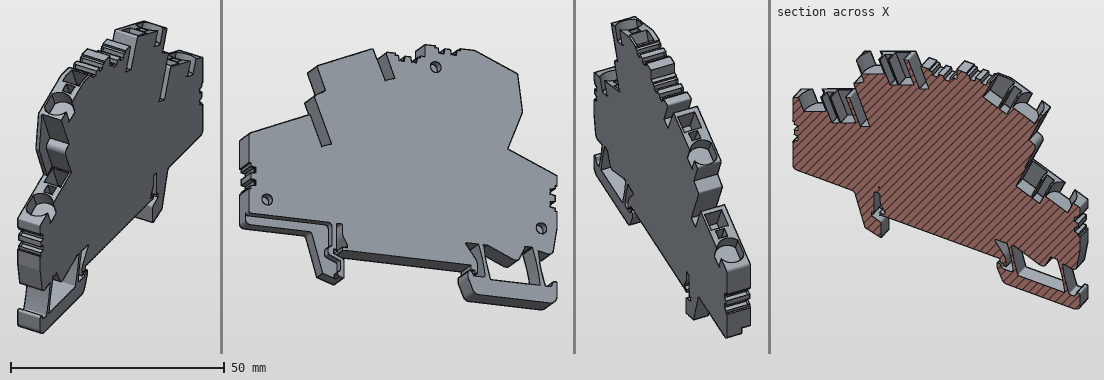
import cadquery as cq
import math

THICKNESS = 6.1
HALF_LENGTH = 38.95
HEIGHT = 59.7

SLOPE = math.radians(22.5)
RISE = math.tan(SLOPE)

EDGE_ROUND = 0.4
END_ROUND = 0.8
BROW_ROUND = 1.95
STRUT_BEND = 31.15

RAIL_FACE_Z = 7.0
LATCH_TOP_Z = 13.4
SHELF_Z = 11.3
FOOT_DECK_Z = 4.05
LATCH_RECESS_DEPTH = 2.25

COVER_THICKNESS = 0.9
COVER_FOOT_Y = -26.5

SEAT_WIDTH = 6.3
SEAT_DEPTH = 0.5
GROOVE_PITCH = 3.1
GROOVE_MOUTH = 1.9
GROOVE_FLOOR = 1.25
GROOVE_DEPTH = 1.5
GROOVE_END_LENGTH = 0.55
GROOVE_END_STEP = 0.2

FUNNEL_X = 3.1
FUNNEL_RADIUS = 3.3
FUNNEL_FLAT_X = 0.5
FUNNEL_DEPTH = 3.9
FUNNEL_END_FLAT = 1.2
SLOT_X = 3.5
SLOT_WIDTH = 2.25
SLOT_LENGTH = 2.1
SLOT_OFFSET = 4.75
POCKET_X = 3.35
POCKET_WIDTH = 4.4
POCKET_LENGTH = 4.3
POCKET_OFFSET = 8.4
CAVITY_DEPTH = 7.1

CLEARANCE = 2.3

PIN_DIAMETER = 2.65
PIN_DEPTH = 2.3
PIN_CENTRES = [(34.35, 17.2), (-8.25, 54.5), (-35.0, 18.1)]

UPPER_LEDGE_Z = 56.8
LOWER_LEFT_CORNER = (HALF_LENGTH, 32.95)
UPPER_LEFT_CORNER = (21.8, 51.4)
UPPER_RIGHT_CORNER = (-29.0, 55.2)
LOWER_RIGHT_CORNER = (-HALF_LENGTH, 31.4)


def on_slope(corner, y):
    """Point at the given y on the sloped face that starts at its outer corner."""
    return (y, corner[1] + abs(corner[0] - y) * RISE)


def rounded_prism(corners, x_start, x_end):
    """Extrude a closed outline of (y, z) or (y, z, radius) corners along X."""
    segments = []
    count = len(corners)
    for i, corner in enumerate(corners):
        here = cq.Vector(corner[0], corner[1])
        radius = corner[2] if len(corner) == 3 else 0
        if radius == 0:
            segments.append((here, None, here))
            continue
        before = cq.Vector(*corners[i - 1][:2])
        after = cq.Vector(*corners[(i + 1) % count][:2])
        back = (before - here).normalized()
        ahead = (after - here).normalized()
        half_angle = back.getAngle(ahead) / 2
        setback = radius / math.tan(half_angle)
        bisector = (back + ahead).normalized()
        middle = here + bisector * (radius / math.sin(half_angle) - radius)
        segments.append((here + back * setback, middle, here + ahead * setback))

    outline = cq.Workplane("YZ", origin=(x_start, 0, 0)).moveTo(*segments[-1][2].toTuple()[:2])
    for start, middle, end in segments:
        outline = outline.lineTo(*start.toTuple()[:2])
        if middle is not None:
            outline = outline.threePointArc(middle.toTuple()[:2], end.toTuple()[:2])
    return outline.close().extrude(x_end - x_start)


def housing():
    """Main body with the stepped roof, conductor slots and rail recesses."""
    brow_y = UPPER_RIGHT_CORNER[0] + (HEIGHT - UPPER_RIGHT_CORNER[1]) / RISE
    corners = [
        (HALF_LENGTH, SHELF_Z, 1.25),
        (*LOWER_LEFT_CORNER, END_ROUND),
        (*on_slope(LOWER_LEFT_CORNER, 23.5), EDGE_ROUND),
        (20.55, 31.8),
        (18.1, 32.7),
        (22.5, 43.9, EDGE_ROUND),
        (19.6, 45.6),
        (*UPPER_LEFT_CORNER, EDGE_ROUND),
        (*on_slope(UPPER_LEFT_CORNER, 7.6), EDGE_ROUND),
        (4.5, 49.8),
        (2.1, 50.6),
        (4.45, UPPER_LEDGE_Z, EDGE_ROUND),
        (-5.5, UPPER_LEDGE_Z),
        (-5.5, HEIGHT),
        (brow_y, HEIGHT, BROW_ROUND),
        (*UPPER_RIGHT_CORNER, EDGE_ROUND),
        (-30.2, 45.95, 1.2),
        on_slope(LOWER_RIGHT_CORNER, COVER_FOOT_Y),
        (*LOWER_RIGHT_CORNER, EDGE_ROUND),
        (-HALF_LENGTH, 18.6),
        (-37.8, 11.7, 1.2),
        (-34.2, 12.45),
        (-32.4, 13.2),
        (-30.9, 13.2),
        (-29.2, 9.5, 0.9),
        (-28.0, 9.5, 0.8),
        (-21.35, 12.4),
        (-15.6, 12.4, 0.3),
        (-18.85, 7.95, 3.1),
        (-18.85, 5.2),
        (-18.2, 5.2),
        (-18.1, 5.9),
        (-17.1, 5.9),
        (-17.1, RAIL_FACE_Z),
        (13.9, RAIL_FACE_Z),
        (15.35, 6.85),
        (15.35, 7.7),
        (14.0, 7.7),
        (14.0, 8.25),
        (15.35, 10.7, 3.1),
        (15.35, LATCH_TOP_Z, 0.4),
        (16.8, LATCH_TOP_Z, 0.4),
        (16.8, RAIL_FACE_Z),
        (17.5, RAIL_FACE_Z),
        (17.5, 5.9),
        (14.9, 4.8, 0.8),
        (14.9, 0.1, 0.2),
        (19.4, 1.5),
        (22.3, SHELF_Z, 0.8),
    ]
    return rounded_prism(corners, 0, THICKNESS)


def spring_foot():
    """Flexible foot at the -Y end, hung from the body by two thin struts."""
    root_z = 13.25
    outline = [
        (-16.35, 5.6, 0.3),
        (-17.3, 5.6, 0.3),
        (-17.8, 4.45, 0.3),
        (-20.8, 4.45, 0.6),
        (-20.2, 8.6, STRUT_BEND),
        (-19.1, 12.4),
        (-18.85, root_z),
        (-20.3, root_z),
        (-20.3, 12.4),
        (-20.9, 8.9, STRUT_BEND),
        (-22.1, FOOT_DECK_Z, 0.2),
        (-34.65, FOOT_DECK_Z),
        (-34.0, 8.25, STRUT_BEND),
        (-32.6, root_z),
        (-34.2, root_z),
        (-34.2, 12.4),
        (-34.6, 8.6, STRUT_BEND),
        (-36.0, FOOT_DECK_Z, 0.2),
        (-37.45, FOOT_DECK_Z, 0.6),
        (-37.9, 5.4, 0.4),
        (-HALF_LENGTH, 5.4, 0.4),
        (-HALF_LENGTH, 0.0, 1.9),
        (-18.1, 0.0, 1.55),
        (-16.35, 4.05, 0.8),
    ]
    return rounded_prism(outline, 0, THICKNESS)


def latch_recess():
    """Shallow step that thins the shelf and the outside of the latch leg."""
    outline = [
        (HALF_LENGTH + CLEARANCE, LATCH_TOP_Z + 0.8),
        (HALF_LENGTH, LATCH_TOP_Z + 0.8),
        (HALF_LENGTH, LATCH_TOP_Z, 0.6),
        (18.0, LATCH_TOP_Z, 0.9),
        (18.0, 7.9),
        (18.9, 7.3, 0.6),
        (18.9, 5.6, 0.6),
        (15.8, 4.3, 0.4),
        (15.8, 2.0),
        (16.6, 1.4),
        (16.6, 0.9),
        (16.0, 0.3),
        (16.0, -CLEARANCE),
        (HALF_LENGTH + CLEARANCE, -CLEARANCE),
    ]
    return rounded_prism(outline, 0, LATCH_RECESS_DEPTH)


def end_recess():
    """Cutback of the upper -Y end behind the cover wall, leaving a rounded nose."""
    nose = (-27.2, 45.25)
    wall_top_y = -28.8
    wall_foot_y = -24.0
    outside_y = -32.7
    outline = [
        on_slope(UPPER_RIGHT_CORNER, wall_top_y),
        (-25.1, 46.3),
        (*nose, 1.4),
        on_slope(LOWER_RIGHT_CORNER, wall_foot_y),
        on_slope(LOWER_RIGHT_CORNER, COVER_FOOT_Y),
        (outside_y, 44.4),
        (outside_y, UPPER_RIGHT_CORNER[1]),
        UPPER_RIGHT_CORNER,
    ]
    return rounded_prism(outline, COVER_THICKNESS, THICKNESS)


def label_grooves(y, z, tilt):
    """Cutter for one label seat; tilt turns its opening about X from straight up, in degrees."""
    cutter = cq.Workplane("YZ").rect(SEAT_WIDTH, 2 * SEAT_DEPTH).extrude(THICKNESS)
    for centre in (-GROOVE_PITCH / 2, GROOVE_PITCH / 2):
        for length, extra in ((THICKNESS, 0), (GROOVE_END_LENGTH, GROOVE_END_STEP)):
            groove = [
                (centre - GROOVE_MOUTH / 2, 0),
                (centre + GROOVE_MOUTH / 2, 0),
                (centre + GROOVE_FLOOR / 2, -GROOVE_DEPTH - extra),
                (centre - GROOVE_FLOOR / 2, -GROOVE_DEPTH - extra),
            ]
            cutter = cutter.union(rounded_prism(groove, 0, length))
    return cutter.rotate((0, 0, 0), (1, 0, 0), tilt).translate((0, y, z))


def wire_entry(corner, funnel_y):
    """Cutter for the funnel, test slot and release pocket of one sloped face."""
    side = math.copysign(1, corner[0])
    y, z = on_slope(corner, funnel_y)
    face = cq.Plane(
        origin=(0, y, z),
        xDir=(1, 0, 0),
        normal=(0, side * math.sin(SLOPE), math.cos(SLOPE)),
    )

    def recess(x, uphill, width, length, depth):
        floor = cq.Workplane(face).workplane(offset=-depth)
        return floor.center(x, -side * uphill).rect(width, length).extrude(depth + CLEARANCE)

    funnel = cq.Workplane(face).workplane(offset=-FUNNEL_DEPTH)
    funnel = funnel.center(FUNNEL_X, 0).circle(FUNNEL_RADIUS).extrude(FUNNEL_DEPTH + CLEARANCE)
    end_flat = math.sqrt(FUNNEL_RADIUS**2 - (FUNNEL_END_FLAT / 2) ** 2)
    trim_size = 3 * FUNNEL_RADIUS
    trim_x = FUNNEL_FLAT_X + trim_size / 2
    trim = recess(trim_x, trim_size / 2 - end_flat, trim_size, trim_size, FUNNEL_DEPTH)
    funnel = funnel.intersect(trim)
    slot = recess(SLOT_X, SLOT_OFFSET, SLOT_WIDTH, SLOT_LENGTH, CAVITY_DEPTH)
    pocket = recess(POCKET_X, POCKET_OFFSET, POCKET_WIDTH, POCKET_LENGTH, CAVITY_DEPTH)
    return funnel.union(slot).union(pocket)


LABELS = [
    (-11.3, HEIGHT, 0),
    (-1.25, UPPER_LEDGE_Z, 0),
    (HALF_LENGTH, 22.6, -90),
    (-HALF_LENGTH, 25.8, 90),
]

ENTRIES = [
    (LOWER_LEFT_CORNER, 34.35),
    (UPPER_LEFT_CORNER, 18.6),
    (UPPER_RIGHT_CORNER, -25.15),
    (LOWER_RIGHT_CORNER, -34.0),
]

result = housing().union(spring_foot())
result = result.cut(latch_recess()).cut(end_recess())

for label_y, label_z, label_tilt in LABELS:
    result = result.cut(label_grooves(label_y, label_z, label_tilt))

for entry_corner, entry_y in ENTRIES:
    result = result.cut(wire_entry(entry_corner, entry_y))

pins = cq.Workplane("YZ").pushPoints(PIN_CENTRES).circle(PIN_DIAMETER / 2).extrude(PIN_DEPTH)
result = result.cut(pins)